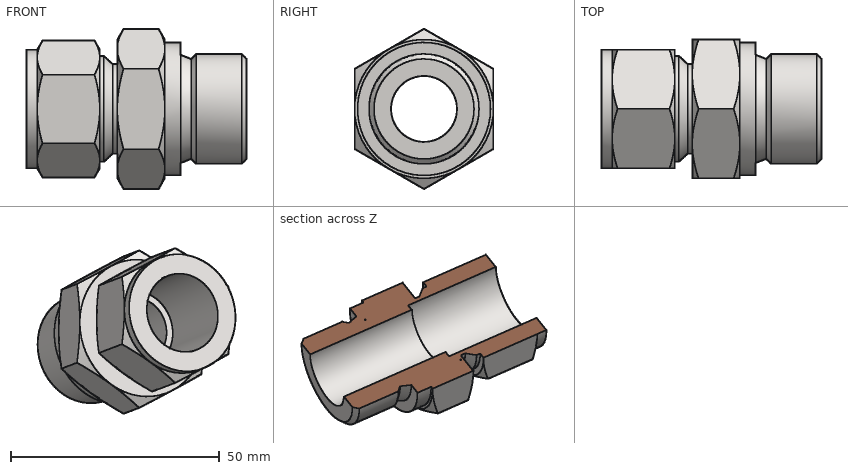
import cadquery as cq
import math


NUT_HEX_START = 2.6
NUT_HEX_END = 17.6
NECK_CONE_START = 18.6
NECK_CONE_END = 20.65
BODY_HEX_START = 21.8
BODY_HEX_END = 33.2
FLANGE_END = 37.0
RELIEF_END = 39.5
LENGTH = 52.8

HEX_SIDES = 6
NUT_ACROSS_FLATS = 28.5
BODY_ACROSS_FLATS = 33.3
HEX_CHAMFER_ANGLE = 30.0

COLLAR_DIAMETER = NUT_ACROSS_FLATS
NECK_LARGE_DIAMETER = 25.4
NECK_SMALL_DIAMETER = 21.6
FLANGE_DIAMETER = 31.9
RELIEF_LARGE_DIAMETER = 26.0
RELIEF_SMALL_DIAMETER = 24.0
THREAD_DIAMETER = 26.4
THREAD_CHAMFER = 1.2

TUBE_SOCKET_DIAMETER = 19.05
TUBE_SOCKET_DEPTH = 24.4
THROUGH_BORE_DIAMETER = 15.75


def revolve_profile(points):
    """Revolve a closed outline of (x, radius) points about the X axis."""
    return cq.Workplane("XY").polyline(points).close().revolve(360, (0, 0, 0), (1, 0, 0))


def cylinder(diameter, start, end):
    return cq.Workplane("YZ").workplane(offset=start).circle(diameter / 2).extrude(end - start)


def chamfered_hexagon(across_flats, start, end):
    """Hexagonal prism with corners at +Z and -Z, conically chamfered at both ends."""
    flat_radius = across_flats / 2
    corner_radius = flat_radius / math.cos(math.pi / HEX_SIDES)
    chamfer_length = (corner_radius - flat_radius) * math.tan(math.radians(HEX_CHAMFER_ANGLE))
    prism = (
        cq.Workplane("YZ")
        .workplane(offset=start)
        .transformed(rotate=(0, 0, 90))
        .polygon(HEX_SIDES, 2 * corner_radius)
        .extrude(end - start)
    )
    envelope = revolve_profile([
        (start, 0),
        (start, flat_radius),
        (start + chamfer_length, corner_radius),
        (end - chamfer_length, corner_radius),
        (end, flat_radius),
        (end, 0),
    ])
    return prism.intersect(envelope)


def turned_neck():
    """Neck between the nut and the body hexagon, with a cone down to the body."""
    return revolve_profile([
        (NUT_HEX_END, 0),
        (NUT_HEX_END, NECK_LARGE_DIAMETER / 2),
        (NECK_CONE_START, NECK_LARGE_DIAMETER / 2),
        (NECK_CONE_END, NECK_SMALL_DIAMETER / 2),
        (BODY_HEX_START, NECK_SMALL_DIAMETER / 2),
        (BODY_HEX_START, 0),
    ])


def threaded_end():
    """Sealing flange, tapered thread relief and plain thread cylinder."""
    thread_radius = THREAD_DIAMETER / 2
    relief_radius = RELIEF_SMALL_DIAMETER / 2
    return revolve_profile([
        (BODY_HEX_END, 0),
        (BODY_HEX_END, FLANGE_DIAMETER / 2),
        (FLANGE_END, FLANGE_DIAMETER / 2),
        (FLANGE_END, RELIEF_LARGE_DIAMETER / 2),
        (RELIEF_END, relief_radius),
        (RELIEF_END + thread_radius - relief_radius, thread_radius),
        (LENGTH - THREAD_CHAMFER, thread_radius),
        (LENGTH, thread_radius - THREAD_CHAMFER),
        (LENGTH, 0),
    ])


collar = cylinder(COLLAR_DIAMETER, 0, NUT_HEX_START)
nut_hexagon = chamfered_hexagon(NUT_ACROSS_FLATS, NUT_HEX_START, NUT_HEX_END)
body_hexagon = chamfered_hexagon(BODY_ACROSS_FLATS, BODY_HEX_START, BODY_HEX_END)
outside = collar.union(nut_hexagon).union(turned_neck()).union(body_hexagon).union(threaded_end())

tube_socket = cylinder(TUBE_SOCKET_DIAMETER, 0, TUBE_SOCKET_DEPTH)
through_bore = cylinder(THROUGH_BORE_DIAMETER, 0, LENGTH)

result = outside.cut(tube_socket).cut(through_bore)